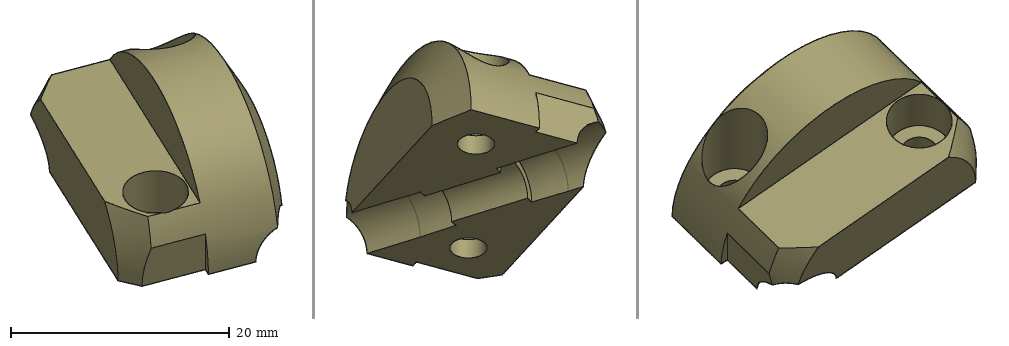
import cadquery as cq

radius = 13
tall_length = 9.0
shelf_length = 8.0
shelf_height = 7.0
shelf_half_width = 12.27

back_bevel_length = 2.0
back_bevel_radius = 9.0
corner_axis_offset = 1.55
left_corner_radius = 9.57
right_corner_radius = 9.15
left_corner_slope = 0.95
right_corner_slope = 0.9

screw_centers = [(-8.0, 4.0), (8.0, -3.2)]
screw_diameter = 3.4
head_diameter = 6.0
head_floor = 2.0

channel_angle = 33.8
channel_radius = 2.5
socket_radius = 3.33
socket_start = 4.0
socket_taper_end = 7.8
socket_floor_radius = 3.25
channel_reach = 20.8


def cone_along_y(center_x, profile):
    """Revolve (radius, y) points around the Y-parallel line at center_x."""
    axis_points = [(0, profile[0][1])] + profile + [(0, profile[-1][1])]
    solid = cq.Workplane("XY").polyline(axis_points).close().revolve(360, (0, 0, 0), (0, 1, 0))
    return solid.translate((center_x, 0, 0))


def box_between(low, high):
    size = [b - a for a, b in zip(low, high)]
    return cq.Workplane("XY").box(*size, centered=False).translate(low)


def make_tall_part():
    profile = [
        (radius, 0),
        (radius, tall_length - back_bevel_length),
        (back_bevel_radius, tall_length),
    ]
    upper_half = box_between((-radius, 0, 0), (radius, tall_length, radius))
    return cone_along_y(0, profile).intersect(upper_half)


def make_shelf():
    round_bar = cone_along_y(0, [(radius, -shelf_length), (radius, 0)])
    shelf = round_bar.intersect(
        box_between((-shelf_half_width, -shelf_length, 0), (shelf_half_width, 0, shelf_height))
    )
    corners = [
        (-1, left_corner_radius, left_corner_slope),
        (1, right_corner_radius, right_corner_slope),
    ]
    halves = []
    for side, corner_radius, slope in corners:
        bevel = cone_along_y(
            side * corner_axis_offset,
            [(corner_radius, -shelf_length), (corner_radius + slope * shelf_length, 0)],
        )
        half_space = box_between(
            (min(0, side * radius), -shelf_length, 0), (max(0, side * radius), 0, radius)
        )
        halves.append(shelf.intersect(half_space).intersect(bevel))
    return halves[0].union(halves[1])


def make_screw_hole(center):
    shank = cq.Workplane("XY").center(*center).circle(screw_diameter / 2).extrude(radius)
    head = cq.Workplane("XY").workplane(offset=head_floor).center(*center)
    return shank.union(head.circle(head_diameter / 2).extrude(radius))


def make_channel():
    profile = [
        (socket_radius, -channel_reach),
        (socket_radius, -socket_taper_end),
        (socket_floor_radius, -socket_start),
        (channel_radius, -socket_start),
        (channel_radius, socket_start),
        (socket_floor_radius, socket_start),
        (socket_radius, socket_taper_end),
        (socket_radius, channel_reach),
    ]
    return cone_along_y(0, profile).rotate((0, 0, 0), (0, 0, 1), channel_angle - 90)


result = make_tall_part().union(make_shelf())
for screw_center in screw_centers:
    result = result.cut(make_screw_hole(screw_center))
result = result.cut(make_channel())